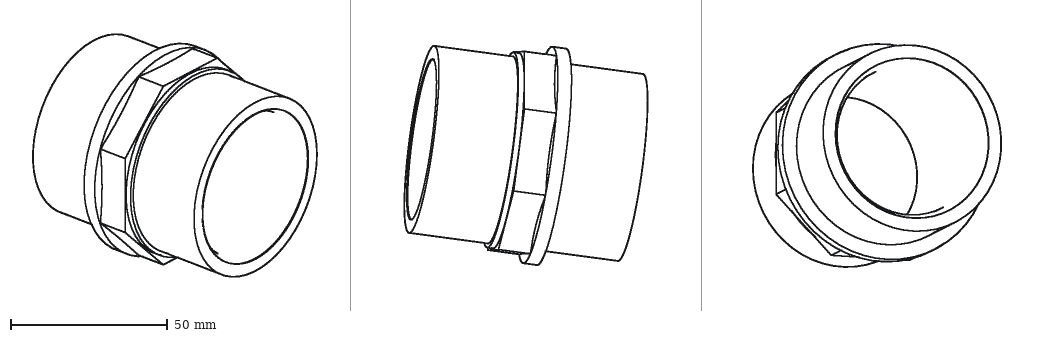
import cadquery as cq
import math

length = 68.0
pipe_diameter = 60.5
bore_diameter = 48.5

mouth_diameter = 51.95
mouth_depth = 4.2
mouth_land = 0.35

flange_diameter = 70.0
flange_start = 25.7
flange_width = 4.5

octagon_sides = 8
octagon_flats = 64.0
octagon_width = 10.3

cone_diameter = 68.05
cone_width = 0.55
cone_end_diameter = 63.7

collar_diameter = 63.15
collar_width = 1.9

pipe_start = -length / 2
flange_x = pipe_start + flange_start
octagon_x = flange_x + flange_width
collar_x = octagon_x + octagon_width


def cylinder(start, width, diameter):
    """Round bar along +X."""
    return cq.Workplane("YZ", origin=(start, 0, 0)).circle(diameter / 2).extrude(width)


def joint_cone():
    """Cone frustum that narrows from the flange face along +X."""
    solid = cq.Solid.makeCone(
        cone_diameter / 2,
        cone_end_diameter / 2,
        cone_width,
        cq.Vector(octagon_x, 0, 0),
        cq.Vector(1, 0, 0),
    )
    return cq.Workplane(solid)


def rounded_mouth():
    """Cutter that flares the bore at the -X end: a straight land, then an arc tangent to the bore wall."""
    bore_radius = bore_diameter / 2
    flare = (mouth_diameter - bore_diameter) / 2
    arc_radius = (mouth_depth**2 + flare**2) / (2 * flare)
    half_angle = math.asin(mouth_depth / arc_radius) / 2
    land_x = pipe_start + mouth_land
    inner_x = land_x + mouth_depth
    middle = (
        inner_x - arc_radius * math.sin(half_angle),
        bore_radius + arc_radius * (1 - math.cos(half_angle)),
    )
    return (
        cq.Workplane("XY")
        .moveTo(pipe_start, 0)
        .lineTo(inner_x, 0)
        .lineTo(inner_x, bore_radius)
        .threePointArc(middle, (land_x, mouth_diameter / 2))
        .lineTo(pipe_start, mouth_diameter / 2)
        .close()
        .revolve(360, (0, 0, 0), (1, 0, 0))
    )


def octagon():
    """Octagonal prism with flats facing Y and Z."""
    corner_diameter = octagon_flats / math.cos(math.pi / octagon_sides)
    return (
        cq.Workplane("YZ", origin=(octagon_x, 0, 0))
        .transformed(rotate=(0, 0, 180 / octagon_sides))
        .polygon(octagon_sides, corner_diameter)
        .extrude(octagon_width)
    )


body = cylinder(pipe_start, length, pipe_diameter)
body = body.union(cylinder(flange_x, flange_width, flange_diameter))
body = body.union(octagon())
body = body.union(joint_cone())
body = body.union(cylinder(collar_x, collar_width, collar_diameter))

body = body.cut(cylinder(pipe_start, length, bore_diameter))
mouth = rounded_mouth()
body = body.cut(mouth)
body = body.cut(mouth.mirror("YZ"))

result = body